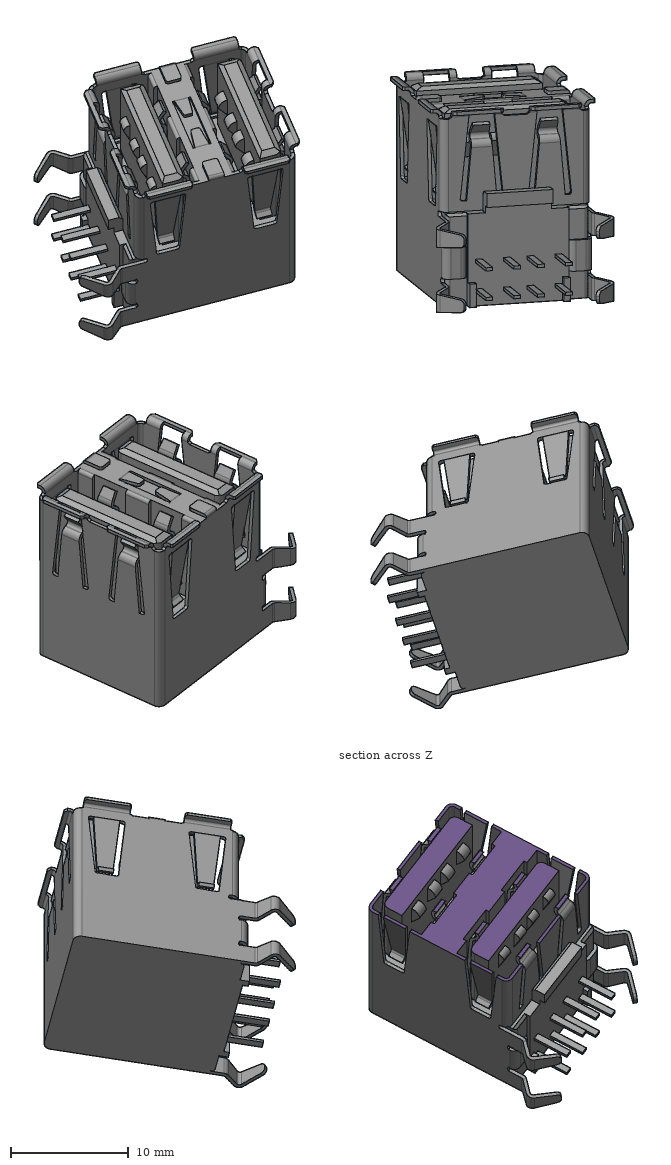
import cadquery as cq
import math


sheet = 0.32
shell_width = 13.2
shell_depth = 14.33
shell_height = 16.22
corner_radius = 0.65
bend_radius = 0.25
half_width = shell_width / 2
inner_half = half_width - sheet
fuse = 0.1

port_pitch = 8.71
port_centers = [shell_depth / 2 - port_pitch / 2, shell_depth / 2 + port_pitch / 2]

flange_top = 16.96
flange_reach = 0.65
flange_root = 16.38
side_flange_corner = 0.15
end_flange_corner = 0.26
shoulder_run = 0.25
side_flange_width = 4.03
end_flange_width = 4.43
end_flange_x = 3.44

spring_x = 3.0
slot_bottom = 9.0
slot_bottom_half = 1.92
slot_top_half = 1.14
slot_corner = 0.24
rim_gap = 0.23
spring_root_half = 1.35
spring_bend_z = 13.97
spring_peak_z = 14.36
spring_tip_z = 15.62
spring_tip_retreat = 0.93
spring_bend_radius = 0.36
wall_spring_reach = 1.17
wall_spring_tip_half = 0.72
divider_spring_reach = 1.06
divider_spring_tip_half = 0.61

window_top = 15.34
window_bottom = 8.3
window_top_half = 1.61
window_bottom_half = 1.01
window_corner = 0.24
side_spring_tip_z = 9.22
side_spring_peak_z = 9.62
side_spring_tip_run = 0.6
side_spring_top_half = 1.15
side_spring_tip_half = 0.63

leg_height = 1.98
leg_bottoms = [0.0, 5.66]
leg_apex_x = 7.81
leg_apex_y = -2.86
leg_tip_y = -4.827
leg_taper_y = -1.6
leg_tip_half = 0.52
leg_tip_radius = 0.45
tab_bottom = 2.46
tab_top = 5.18
tab_end_x = 4.43
tab_face_y = -0.8
front_wall_bottom = 8.12
slit_end_y = 0.1
top_slit_end_y = 0.97

housing_top = 8.06
housing_face_y = tab_face_y
housing_side_y = tab_face_y + sheet
face_half = 4.43
side_chamfer = 0.24
ledge_half = 2.92
ledge_face_y = -1.29
ledge_bottom = 8.63
ledge_top = 9.83
ledge_chamfer = 0.33
foot_width = 0.57
foot_height = 2.06

tongue_half = 5.56
tongue_front = -0.15
tongue_back = 1.86
tongue_top = flange_root
tongue_bevel = 0.31
bevel_side = 0.57
bevel_back = 0.48
bevel_front = 0.36
tongue_corner = 0.58

contact_positions = [-3.51, -1.0, 1.0, 3.51]
contact_width = 1.06
contact_top = 14.18
contact_bottom = 12.2
contact_reaches = [0.58, 0.8]
pin_positions = [-3.51, -1.04, 1.04, 3.51]
pin_width = 0.6
pin_thickness = 0.28
pin_levels = [1.35, 3.93]
pin_tip_y = -4.09

divider_half = 1.795
divider_notch_half = 1.755
pocket_half_length = 2.7
pocket_half_width = 0.8
latch_root_half = 0.65
latch_tip_half = 0.4
latch_tip_x = 0.83
latch_rise = 0.14
latch_radius = 0.2
fold_end_x = 4.66
fold_width = 1.4
fold_bend = 0.29


def box(x0, x1, y0, y1, z0, z1):
    """Box between two opposite corners."""
    return cq.Workplane("XY").box(x1 - x0, y1 - y0, z1 - z0, centered=False).translate((x0, y0, z0))


def both_sides(part):
    """The part and its mirror image about X = 0."""
    return part.union(part.mirror("YZ"))


def unit(x, y):
    """Vector scaled to length one."""
    size = math.hypot(x, y)
    return x / size, y / size


def moved(point, direction, distance):
    """Point moved along a direction."""
    return point[0] + direction[0] * distance, point[1] + direction[1] * distance


def beside(point, direction, distance):
    """Point moved to the left of a direction."""
    return moved(point, (-direction[1], direction[0]), distance)


def bend_points(corner, before, after, radius, side):
    """Start, middle and end of a bend of the centre path, each moved sideways by `side`."""
    turn = math.acos(before[0] * after[0] + before[1] * after[1])
    setback = radius * math.tan(turn / 2)
    sagitta = radius / math.cos(turn / 2) - radius
    along = unit(before[0] + after[0], before[1] + after[1])
    inward = unit(after[0] - before[0], after[1] - before[1])
    return [
        beside(moved(corner, before, -setback), before, side),
        beside(moved(corner, inward, sagitta), along, side),
        beside(moved(corner, after, setback), after, side),
    ]


def bent_strip(plane, path, radius, start, length):
    """Sheet strip along a centre path with round bends.

    `radius` is the inner bend radius. The strip is extruded by `length` along the plane's
    normal, beginning at the distance `start` from the origin.
    """
    directions = [unit(x1 - x0, y1 - y0) for (x0, y0), (x1, y1) in zip(path, path[1:])]
    corners = list(zip(path[1:-1], directions, directions[1:]))
    center_radius = radius + sheet / 2
    half = sheet / 2
    outline = cq.Workplane(plane).workplane(offset=start)
    outline = outline.moveTo(*beside(path[0], directions[0], half))
    for corner, before, after in corners:
        first, middle, last = bend_points(corner, before, after, center_radius, half)
        outline = outline.lineTo(*first).threePointArc(middle, last)
    outline = outline.lineTo(*beside(path[-1], directions[-1], half))
    outline = outline.lineTo(*beside(path[-1], directions[-1], -half))
    for corner, before, after in reversed(corners):
        first, middle, last = bend_points(corner, before, after, center_radius, -half)
        outline = outline.lineTo(*last).threePointArc(middle, first)
    outline = outline.lineTo(*beside(path[0], directions[0], -half))
    return outline.close().extrude(length)


def make_can():
    """Four shell walls without the front wall's lower part."""
    outer = box(-half_width, half_width, 0, shell_depth, 0, shell_height)
    outer = outer.edges("|Z").fillet(corner_radius)
    inner = box(-inner_half, inner_half, sheet, shell_depth - sheet, 0, shell_height)
    inner = inner.edges("|Z").fillet(corner_radius - sheet)
    opening = box(-half_width, half_width, 0, corner_radius, 0, front_wall_bottom)
    return outer.cut(inner).cut(opening)


def make_flange(width, corner):
    """Flange of a wall whose outer face is the plane Y = 0, leaning towards -Y, centred on X = 0."""
    level = flange_top - sheet / 2
    path = [(sheet / 2, shell_height - fuse), (sheet / 2, level), (-flange_reach, level)]
    flange = bent_strip("YZ", path, bend_radius, -width / 2, width)
    flange = flange.edges("|Z").edges("<Y").chamfer(corner)
    shoulder_half = width / 2 + shoulder_run
    shoulder = (
        cq.Workplane("XZ")
        .polyline([
            (-shoulder_half, shell_height),
            (-width / 2, flange_root),
            (width / 2, flange_root),
            (shoulder_half, shell_height),
        ])
        .close()
        .extrude(-sheet)
    )
    return flange.union(shoulder)


def make_flanges():
    """Two flanges on each wall."""
    front = both_sides(make_flange(end_flange_width, end_flange_corner).translate((end_flange_x, 0, 0)))
    flanges = front.union(front.mirror("XZ").translate((0, shell_depth, 0)))
    side = make_flange(side_flange_width, side_flange_corner)
    side = side.rotate((0, 0, 0), (0, 0, 1), 90).translate((half_width, 0, 0))
    for y in port_centers:
        flanges = flanges.union(both_sides(side.translate((0, y, 0))))
    return flanges


def trapezoid(plane, bottom, bottom_half, top, top_half):
    """Prism of a symmetric trapezoid, long enough to pass through any wall."""
    return (
        cq.Workplane(plane)
        .polyline([(-bottom_half, bottom), (bottom_half, bottom), (top_half, top), (-top_half, top)])
        .close()
        .extrude(shell_depth, both=True)
    )


def make_spring(face_y, inward, reach, tip_half):
    """Spring rising from a wall with outer face at face_y; inward is the Y sense of its bulge."""
    middle = sheet / 2
    profile = [
        (middle, slot_bottom - fuse),
        (middle, spring_bend_z),
        (reach, spring_peak_z),
        (reach - spring_tip_retreat, spring_tip_z),
    ]
    path = [(face_y + inward * u, z) for u, z in profile]
    strip = bent_strip("YZ", path, spring_bend_radius, -slot_bottom_half, 2 * slot_bottom_half)
    blank = trapezoid("XZ", slot_bottom - fuse, spring_root_half, spring_tip_z + sheet, tip_half)
    return both_sides(strip.intersect(blank).translate((spring_x, 0, 0)))


def make_spring_slots():
    """Tapered cuts through the front and back walls that also open the flange roots."""
    taper = trapezoid("XZ", slot_bottom, slot_bottom_half, flange_root, slot_top_half)
    taper = taper.edges("|Y").edges("<Z").fillet(slot_corner)
    mouth = box(-slot_top_half, slot_top_half, -shell_depth, 2 * shell_depth, flange_root, flange_top)
    cutter = taper.union(mouth)
    walls = box(-slot_bottom_half, slot_bottom_half, -rim_gap, sheet, 0, flange_top)
    walls = walls.union(walls.mirror("XZ").translate((0, shell_depth, 0)))
    return both_sides(cutter.intersect(walls).translate((spring_x, 0, 0)))


def make_side_window(y):
    """Tapered openings through both side walls."""
    window = trapezoid("YZ", window_bottom, window_bottom_half, window_top, window_top_half)
    return window.edges("|X").fillet(window_corner).translate((0, y, 0))


def make_side_springs(y):
    """Springs hanging from the tops of the side windows and leaning onto the tongue."""
    middle = half_width - sheet / 2
    path = [
        (middle, window_top + fuse),
        (middle, window_top),
        (tongue_half + sheet / 2, side_spring_peak_z),
        (tongue_half + sheet / 2 + side_spring_tip_run, side_spring_tip_z),
    ]
    strip = bent_strip("XZ", path, bend_radius, -window_top_half, 2 * window_top_half)
    bottom = side_spring_tip_z - sheet
    top = window_top + fuse
    blank = trapezoid("YZ", bottom, side_spring_tip_half, top, side_spring_top_half)
    return both_sides(strip.intersect(blank).translate((0, y, 0)))


def make_legs():
    """Two solder legs on each side: kinked out and back in at 45 degrees, tapering to a round tip."""
    middle = half_width - sheet / 2
    root_y = leg_apex_y + leg_apex_x - middle
    tip_x = leg_apex_x - (leg_apex_y - leg_tip_y)
    path = [
        (middle, corner_radius),
        (middle, root_y),
        (leg_apex_x, leg_apex_y),
        (tip_x, leg_tip_y),
    ]
    strip = bent_strip("XY", path, bend_radius, 0, leg_height)
    end_y = leg_tip_y - sheet / 2 * math.sqrt(0.5)
    center = leg_height / 2
    blank = (
        cq.Workplane("YZ")
        .polyline([
            (corner_radius, 0),
            (leg_taper_y, 0),
            (end_y, center - leg_tip_half),
            (end_y, center + leg_tip_half),
            (leg_taper_y, leg_height),
            (corner_radius, leg_height),
        ])
        .close()
        .extrude(shell_width)
    )
    leg = strip.intersect(blank)
    leg = both_sides(leg.faces(">(-1,-1,0)").edges("not |Z").fillet(leg_tip_radius))
    legs = leg.translate((0, 0, leg_bottoms[0]))
    for bottom in leg_bottoms[1:]:
        legs = legs.union(leg.translate((0, 0, bottom)))
    return legs


def make_corner_tabs():
    """Tabs folded round the front corners, with ends curled into the housing."""
    middle = half_width - sheet / 2
    face = tab_face_y + sheet / 2
    end = tab_end_x + sheet / 2
    path = [(middle, corner_radius), (middle, face), (end, face), (end, face + bend_radius + sheet / 2)]
    return both_sides(bent_strip("XY", path, corner_radius - sheet, tab_bottom, tab_top - tab_bottom))


def make_slit(z0, z1, end_y):
    """Round-ended slit entering both side walls from the front."""
    radius = (z1 - z0) / 2
    slit = box(-half_width, half_width, tab_face_y, end_y - radius, z0, z1)
    rounded = cq.Workplane("YZ").center(end_y - radius, (z0 + z1) / 2).circle(radius)
    return slit.union(rounded.extrude(half_width, both=True))


def make_shell():
    """Complete sheet-metal shell."""
    shell = make_can().union(make_flanges()).cut(make_spring_slots())
    for y in port_centers:
        shell = shell.cut(make_side_window(y))
    side_top = leg_bottoms[-1] + leg_height
    shell = shell.union(both_sides(box(inner_half, half_width, 0, corner_radius, 0, side_top)))
    shell = shell.union(make_legs()).union(make_corner_tabs())
    shell = shell.cut(make_slit(leg_height, tab_bottom, slit_end_y))
    shell = shell.cut(make_slit(tab_top, leg_bottoms[-1], slit_end_y))
    return shell.cut(make_slit(side_top, front_wall_bottom, top_slit_end_y))


def make_housing():
    """Insulator block in the lower half of the shell, with its front face, ledge and feet."""
    body = box(-inner_half, inner_half, housing_side_y, shell_depth - fuse, 0, housing_top)
    body = body.edges(">Z and <Y").chamfer(side_chamfer)
    body = body.edges("|Z").fillet(corner_radius - sheet)
    face = box(-face_half, face_half, housing_face_y, sheet, 0, housing_top)
    neck = box(-ledge_half, ledge_half, housing_face_y, fuse, 0, ledge_bottom)
    ledge = box(-ledge_half, ledge_half, ledge_face_y, 0, ledge_bottom, ledge_top)
    ledge = ledge.edges(">Y and >Z").chamfer(ledge_chamfer)
    foot = box(face_half - foot_width, face_half, ledge_face_y, housing_face_y, 0, foot_height)
    return body.union(face).union(neck).union(ledge).union(both_sides(foot))


def make_tongue(y):
    """Upright tongue with a beveled top and round back corners."""
    front = y + tongue_front
    back = y + tongue_back
    bevel_start = tongue_top - tongue_bevel
    center = (front + back) / 2
    top_shift = (bevel_front - bevel_back) / 2
    stem = box(-tongue_half, tongue_half, front, back, housing_top - fuse, bevel_start)
    tip = (
        cq.Workplane("XY", origin=(0, center, bevel_start))
        .rect(2 * tongue_half, back - front)
        .workplane(offset=tongue_bevel)
        .center(0, top_shift)
        .rect(2 * (tongue_half - bevel_side), back - front - bevel_front - bevel_back)
        .loft(ruled=True)
    )
    rounded = box(-tongue_half, tongue_half, front, back, 0, tongue_top)
    rounded = rounded.edges("|Z and >Y").fillet(tongue_corner)
    return stem.union(tip).intersect(rounded)


def make_contacts(y, reach):
    """Contacts bulging from the front of a tongue, round at the top and fading downwards."""
    face = y + tongue_front
    diagonal = reach * math.sqrt(0.5)
    profile = (
        cq.Workplane("YZ", origin=(-contact_width / 2, 0, 0))
        .moveTo(face + fuse, contact_bottom)
        .lineTo(face, contact_bottom)
        .lineTo(face - reach, contact_top - reach)
        .threePointArc((face - diagonal, contact_top - reach + diagonal), (face, contact_top))
        .lineTo(face + fuse, contact_top)
        .close()
    )
    contact = profile.extrude(contact_width)
    contacts = contact.translate((contact_positions[0], 0, 0))
    for x in contact_positions[1:]:
        contacts = contacts.union(contact.translate((x, 0, 0)))
    return contacts


def make_divider():
    """Channel between the ports with spring notches, a top pocket and the shell's folded tabs."""
    middle = shell_depth / 2
    front = middle - divider_half
    back = middle + divider_half
    divider = box(-inner_half - fuse, inner_half + fuse, front, back, housing_top - fuse, shell_height)
    divider = divider.faces(">Z").edges("|X").fillet(sheet)
    notch_start = spring_x - divider_notch_half
    notch_end = spring_x + divider_notch_half
    notch = box(notch_start, notch_end, front, back, slot_bottom, flange_top)
    notch = notch.edges("|Y and <Z").fillet(slot_corner)
    core = box(-half_width, half_width, front + sheet, back - sheet, 0, flange_top)
    divider = divider.cut(both_sides(notch.cut(core)))
    pocket = box(
        -pocket_half_length,
        pocket_half_length,
        middle - pocket_half_width,
        middle + pocket_half_width,
        shell_height - sheet,
        shell_height,
    )
    return divider.cut(pocket).union(make_latches()).union(make_folded_tabs())


def make_latches():
    """Tapered tongues rising slightly from both ends of the divider's pocket."""
    blank = (
        cq.Workplane("XY", origin=(0, shell_depth / 2, 0))
        .polyline([
            (pocket_half_length + fuse, -latch_root_half),
            (latch_tip_x, -latch_tip_half),
            (latch_tip_x, latch_tip_half),
            (pocket_half_length + fuse, latch_root_half),
        ])
        .close()
        .extrude(flange_top)
        .edges("|Z and <X")
        .fillet(latch_radius)
    )
    level = shell_height - sheet / 2
    path = [
        (pocket_half_length + fuse, level),
        (pocket_half_length, level),
        (latch_tip_x, level + latch_rise),
    ]
    strip = bent_strip("XZ", path, bend_radius, -shell_depth, shell_depth)
    return both_sides(strip.intersect(blank))


def make_folded_tabs():
    """Tabs of the side walls folded flat over the divider."""
    middle = shell_depth / 2
    front = middle - fold_width / 2
    back = middle + fold_width / 2
    tab = box(fold_end_x, half_width, front, back, shell_height, shell_height + sheet)
    tab = tab.edges("|Z and <X").fillet(bend_radius)
    tab = tab.edges("|Y and >X and >Z").fillet(fold_bend)
    return both_sides(tab)


def make_pins():
    """Two rows of solder pins leaving the front of the housing."""
    pins = cq.Workplane("XY")
    for z in pin_levels:
        for x in pin_positions:
            pin = box(-pin_width / 2, pin_width / 2, pin_tip_y, 0, -pin_thickness / 2, pin_thickness / 2)
            pins = pins.union(pin.translate((x, 0, z)))
    return pins


result = make_shell().union(make_housing()).union(make_divider()).union(make_pins())
for port_y, contact_reach in zip(port_centers, contact_reaches):
    result = result.union(make_tongue(port_y)).union(make_contacts(port_y, contact_reach))
    result = result.union(make_side_springs(port_y))
divider_front = shell_depth / 2 - divider_half + sheet
divider_back = shell_depth / 2 + divider_half - sheet
for wall_y, bulge in ((0, 1), (shell_depth, -1)):
    result = result.union(make_spring(wall_y, bulge, wall_spring_reach, wall_spring_tip_half))
for wall_y, bulge in ((divider_front, -1), (divider_back, 1)):
    result = result.union(make_spring(wall_y, bulge, divider_spring_reach, divider_spring_tip_half))